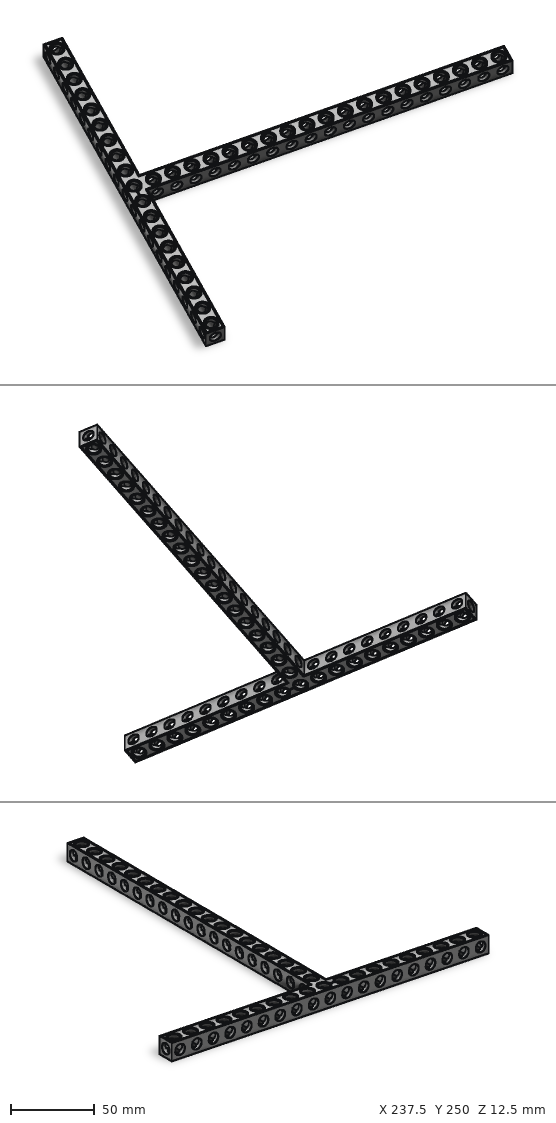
import cadquery as cq
overall_depth = 250.0
crossbar_holes = 19
stem_holes = 19
bar_height = 12.5
clearance = 0.2
hole_diameter = 7.0
hole_chamfer = 0.2
edge_relief = 1.0
relief_diameter = 9.2
relief_depth = 0.15
mark_width = 0.8

pitch = (overall_depth + clearance) / (stem_holes + 1)
bar_width = pitch - clearance
half_width = bar_width / 2
crossbar_length = (crossbar_holes - 1) * pitch + bar_width
stem_end = overall_depth - half_width
relief_level = bar_height / 2 - relief_depth

crossbar_places = [(i - crossbar_holes // 2) * pitch for i in range(crossbar_holes)]
stem_places = [i * pitch for i in range(1, stem_holes + 1)]
vertical_places = [(x, 0) for x in crossbar_places] + [(0, y) for y in stem_places]


def tee(inset, height):
    """T-shaped slab centred on Z, its outline moved inwards by inset."""
    width = bar_width - 2 * inset
    length = overall_depth - 2 * inset
    crossbar = cq.Workplane("XY").box(crossbar_length - 2 * inset, width, height)
    stem = cq.Workplane("XY").box(width, length, height).translate((0, (stem_end - half_width) / 2, 0))
    return crossbar.union(stem)


def raised_plateau():
    """Full-height core of the T, cleared around the vertical holes and along the mark."""
    reliefs = (
        cq.Workplane("XY")
        .pushPoints(vertical_places)
        .circle(relief_diameter / 2)
        .extrude(bar_height / 2, both=True)
    )
    mark = cq.Workplane("XY").box(pitch, mark_width, bar_height).translate((pitch / 2, 0, 0))
    return tee(edge_relief, bar_height).cut(reliefs).cut(mark)


def chamfered_hole(start, direction, length):
    """Cutter for a through hole with a small chamfer at both mouths."""
    first = cq.Vector(*start)
    along = cq.Vector(*direction)
    last = first + along * length
    hole_radius = hole_diameter / 2
    mouth_radius = hole_radius + hole_chamfer
    return [
        cq.Solid.makeCylinder(hole_radius, length, first, along),
        cq.Solid.makeCone(mouth_radius, hole_radius, hole_chamfer, first, along),
        cq.Solid.makeCone(mouth_radius, hole_radius, hole_chamfer, last, along * -1),
    ]


body = tee(0, 2 * relief_level).union(raised_plateau())

cutters = []

for x, y in vertical_places:
    cutters += chamfered_hole((x, y, -relief_level), (0, 0, 1), 2 * relief_level)

for x in crossbar_places:
    length = overall_depth if x == 0 else bar_width
    cutters += chamfered_hole((x, -half_width, 0), (0, 1, 0), length)

for y in stem_places:
    cutters += chamfered_hole((-half_width, y, 0), (1, 0, 0), bar_width)

cutters += chamfered_hole((-crossbar_length / 2, 0, 0), (1, 0, 0), crossbar_length)

result = cq.Workplane("XY").newObject([body.val().cut(*cutters)])